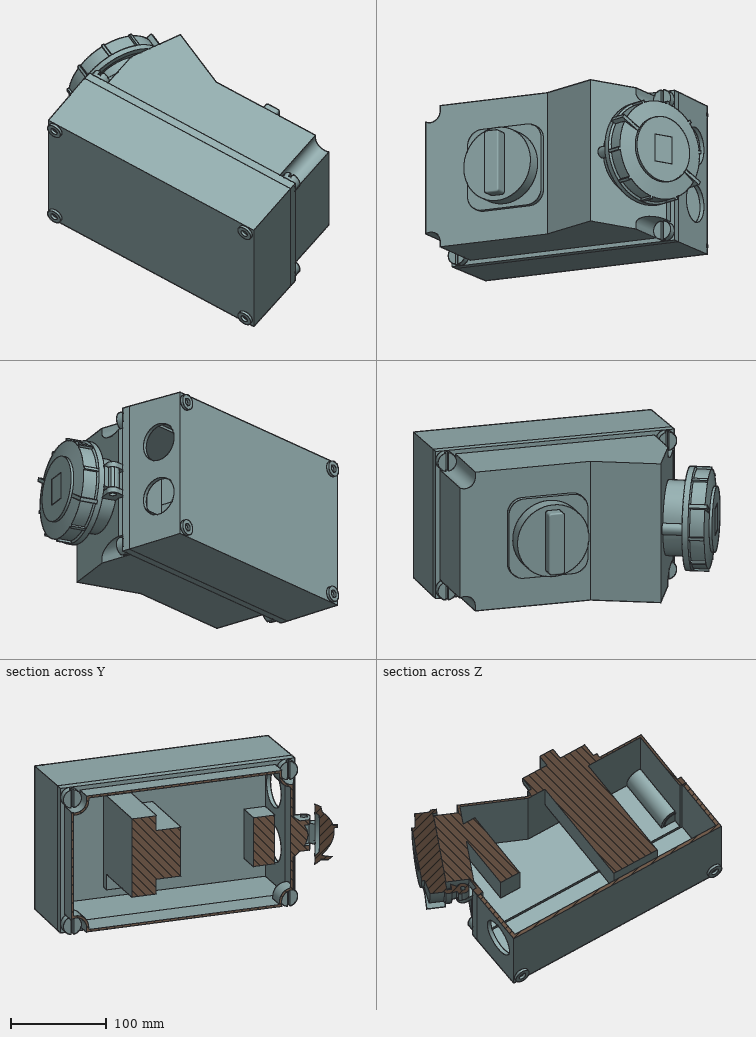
import cadquery as cq
import math


length = 261.0
width = 160.3
plate_thickness = 8.8
base_depth = 67.3
base_draft = 1.0
base_wall = 4.5
cover_margin = 4.5
cover_wall = 3.0

entry_radius = 20.3
entry_spacing = 60.5
entry_y = -48.0

screw_inset = 10.0
screw_head_height = 8.5
screw_slot_width = 3.0
screw_slot_depth = 4.5
pocket_radius = 11.5
foot_radius = 8.2
foot_height = 3.0
foot_hole_radius = 4.0

hood_height = 68.2
peak_x = 46.7
peak_y = 99.5
tilt = 25.0

insert_left = 29.5
insert_right = 53.3
insert_top = 75.8
block_width = 54.5
switch_bottom = -64.2
switch_length = 54.5
switch_back_width = 87.3
switch_foot_width = 121.2
switch_foot_height = 8.8

knob_x = 161.2
knob_plate_side = 86.5
knob_plate_height = 5.5
knob_plate_corner = 16.5
knob_radius = 39.0
knob_height = 16.5
handle_height = 13.5
handle_thickness = 17.0
handle_length = 66.7
handle_corner = 3.0
handle_top_fillet = 1.5

socket_offset = 56.5
sleeve_radius = 39.7
sleeve_length = 26.5
key_radius = 6.0
key_reach = 46.7

hinge_x = -7.3
hinge_y = 7.3
hinge_radius = 6.7
hinge_hole_radius = 3.5
pin_hole_radius = 2.0
ear_outer_width = 34.2
ear_gap = 22.5
ear_root = 91.0
tongue_left = -14.8
tongue_low_y = 3.5
tongue_toe = (-12.0, 1.2)
tongue_root = 42.5

cap_flange_radius = 54.5
cap_back = 21.8
cap_recess_radius = 49.0
cap_flange_front = 28.2
cap_step_front = 29.7
cap_ring_radius = 52.0
cap_ring_top = 44.8
cap_disc_radius = 34.5
cap_disc_bottom = 48.0
cap_disc_top = 51.0
label_length = 22.0
label_width = 28.8
label_height = 0.3
rib_count = 10
rib_width = 3.0
rib_start_angle = -30.0
wing_every = 5
wing_radius = 58.0
wing_width = 4.0

seam_y = -plate_thickness
floor_y = seam_y - base_depth
hood_left = cover_margin
hood_right = length - cover_margin
hood_width = width - 2 * cover_margin
slope_tan = math.tan(math.radians(tilt))
slope_sin = math.sin(math.radians(tilt))
slope_cos = math.cos(math.radians(tilt))
slope_bottom_y = peak_y - (peak_x - hood_left) / slope_tan
screw_places = [
    (x, z)
    for x in (screw_inset, length - screw_inset)
    for z in (screw_inset - width / 2, width / 2 - screw_inset)
]


def face_point(along, out):
    """XY point at a distance down the socket face from the peak and out along its normal."""
    return (peak_x - along * slope_sin - out * slope_cos, peak_y - along * slope_cos + out * slope_sin)


socket_plane = cq.Plane(
    origin=(*face_point(socket_offset, 0), 0),
    xDir=(-slope_sin, -slope_cos, 0),
    normal=(-slope_cos, slope_sin, 0),
)


def box(x0, x1, y0, y1, z_width):
    """Block between X and Y limits, centred on Z = 0."""
    return cq.Workplane("XY").box(x1 - x0, y1 - y0, z_width).translate(((x0 + x1) / 2, (y0 + y1) / 2, 0))


def post(x, z, radius, y0, y1):
    """Cylinder parallel to Y."""
    return cq.Workplane(cq.Solid.makeCylinder(radius, y1 - y0, cq.Vector(x, y0, z), cq.Vector(0, 1, 0)))


def hinge_cylinder(radius, z_width):
    """Cylinder on the hinge axis, centred on Z = 0."""
    return cq.Workplane("XY").center(hinge_x, hinge_y).circle(radius).extrude(z_width / 2, both=True)


def set_on_socket(local):
    """Move a shape from the socket's own frame into place."""
    return cq.Workplane(local.val().moved(cq.Location(socket_plane)))


def base_shell():
    """Open box: left, top and bottom sides taper towards the floor, the right side is straight."""
    def rim(y, inset, drop):
        left = drop + inset
        right = length - inset
        half = width / 2 - drop - inset
        corners = [(left, -half), (right, -half), (right, half), (left, half)]
        return cq.Wire.makePolygon([cq.Vector(x, y, z) for x, z in corners], close=True)

    outer = cq.Solid.makeLoft([rim(seam_y, 0, 0), rim(floor_y, 0, base_draft)], True)
    inside = [rim(seam_y, base_wall, 0), rim(floor_y + base_wall, base_wall, base_draft)]
    return cq.Workplane(outer).cut(cq.Workplane(cq.Solid.makeLoft(inside, True)))


def make_base():
    """Base shell with two cable entries and four hollow feet."""
    base = base_shell()
    for z in (-entry_spacing / 2, entry_spacing / 2):
        start = cq.Vector(-base_wall, entry_y, z)
        entry = cq.Solid.makeCylinder(entry_radius, 3 * base_wall, start, cq.Vector(1, 0, 0))
        base = base.cut(cq.Workplane(entry))
    for x, z in screw_places:
        base = base.union(post(x, z, foot_radius, floor_y - foot_height, floor_y))
        base = base.cut(post(x, z, foot_hole_radius, floor_y - foot_height, floor_y))
    return base


def hood_prism(inset, bottom_y):
    """Hood solid with its outline moved inwards by the inset on every side but the bottom."""
    left = hood_left + inset
    right = hood_right - inset
    top_x = peak_x + inset * (slope_cos - slope_sin)
    top_y = peak_y - inset * (slope_cos + slope_sin)
    roof_y = hood_height - inset
    outline = [
        (left, bottom_y),
        (left, top_y - (top_x - left) / slope_tan),
        (top_x, top_y),
        (top_x + (top_y - roof_y) / slope_tan, roof_y),
        (right, roof_y),
        (right, bottom_y),
    ]
    return cq.Workplane("XY").polyline(outline).close().extrude(hood_width / 2 - inset, both=True)


def screw_pocket(x, z, radius):
    """Round recess over a corner screw, continued straight outwards along Z."""
    outer_z = math.copysign(width / 2, z)
    straight = box(x - radius, x + radius, 0, peak_y, abs(outer_z - z))
    return post(x, z, radius, 0, peak_y).union(straight.translate((0, 0, (z + outer_z) / 2)))


def hood():
    """Rim plate and hollow hood with the four corner screw pockets."""
    body = hood_prism(0, 0)
    cavity = hood_prism(cover_wall, seam_y)
    for x, z in screw_places:
        body = body.cut(screw_pocket(x, z, pocket_radius))
        cavity = cavity.cut(screw_pocket(x, z, pocket_radius + cover_wall))
    return body.union(box(0, length, seam_y, 0, width)).cut(cavity)


def screw_head(x, z):
    """Round screw head with a slot along Z."""
    slot_y = screw_head_height - screw_slot_depth
    slot = box(x - screw_slot_width / 2, x + screw_slot_width / 2, slot_y, screw_head_height, 2 * width)
    return post(x, z, screw_inset, 0, screw_head_height).cut(slot)


def inner_blocks():
    """Rear of the socket insert and the switch body, inside the hood."""
    insert = box(insert_left, insert_right, seam_y, insert_top, block_width)
    insert = insert.intersect(hood_prism(0, seam_y))
    switch_left = knob_x - switch_length / 2
    switch_right = knob_x + switch_length / 2
    front = box(switch_left, knob_x, switch_bottom, hood_height, block_width)
    back = box(knob_x, switch_right, switch_bottom, hood_height, switch_back_width)
    foot = box(knob_x, switch_right, switch_bottom, switch_bottom + switch_foot_height, switch_foot_width)
    return insert.union(front).union(back).union(foot)


def rotary_switch():
    """Rounded square plate, round knob and bar handle on the hood roof."""
    plate_top = hood_height + knob_plate_height
    knob_top = plate_top + knob_height
    handle_top = knob_top + handle_height
    half = knob_plate_side / 2
    plate = box(knob_x - half, knob_x + half, hood_height, plate_top, knob_plate_side)
    plate = plate.edges("|Y").fillet(knob_plate_corner)
    half = handle_thickness / 2
    handle = box(knob_x - half, knob_x + half, knob_top, handle_top, handle_length)
    handle = handle.edges("|Y").fillet(handle_corner).faces(">Y").edges().fillet(handle_top_fillet)
    return plate.union(post(knob_x, 0, knob_radius, plate_top, knob_top)).union(handle)


def socket_sleeve():
    """Round sleeve with its rounded key on the side towards the peak."""
    sleeve = cq.Workplane("XY").circle(sleeve_radius).extrude(sleeve_length)
    key = cq.Workplane("XY").center(key_radius - key_reach, 0).circle(key_radius).extrude(sleeve_length)
    return set_on_socket(sleeve.union(key))


def hinge_ears():
    """Two ears joining the sleeve, the socket face and the hood, rounded about the hinge axis."""
    hinge_out = (peak_x - hinge_x) * slope_cos - (peak_y - hinge_y) * slope_sin
    outer = hinge_out + hinge_radius
    outline = [
        (hinge_x, hinge_y - hinge_radius),
        (hood_left, hinge_y - hinge_radius),
        (hood_left, slope_bottom_y),
        face_point(ear_root, 0),
        face_point(ear_root, outer),
        (hinge_x - hinge_radius * slope_cos, hinge_y + hinge_radius * slope_sin),
    ]
    ears = cq.Workplane("XY").polyline(outline).close().extrude(ear_outer_width / 2, both=True)
    ears = ears.union(hinge_cylinder(hinge_radius, ear_outer_width))
    ears = ears.cut(box(tongue_left - hinge_radius, hood_left, 0, peak_y, ear_gap))
    return ears.cut(hinge_cylinder(hinge_hole_radius, ear_outer_width))


def make_cover():
    """Hood with its inner blocks, switch, screw heads, hinge ears and socket sleeve."""
    cover = hood().union(inner_blocks()).union(rotary_switch())
    for x, z in screw_places:
        cover = cover.union(screw_head(x, z))
    return cover.union(hinge_ears()).union(socket_sleeve())


def cap_disc():
    """Turned body: recessed flange, ring with a shallow conical front, and raised centre disc."""
    profile = [
        (0, sleeve_length),
        (cap_recess_radius, sleeve_length),
        (cap_recess_radius, cap_back),
        (cap_flange_radius, cap_back),
        (cap_flange_radius, cap_flange_front),
        (cap_ring_radius, cap_step_front),
        (cap_ring_radius, cap_ring_top),
        (cap_disc_radius, cap_disc_bottom),
        (cap_disc_radius, cap_disc_top),
        (0, cap_disc_top),
    ]
    return cq.Workplane("XZ").polyline(profile).close().revolve(360, (0, 0), (0, 1))


def cap_rib(number):
    """Axial grip rib; the wings are wider, reach further out and rise to the centre disc."""
    is_wing = number % wing_every == 0
    inner = cap_disc_radius if is_wing else cap_disc_radius + rib_width
    outer = wing_radius if is_wing else cap_flange_radius
    thickness = wing_width if is_wing else rib_width
    top = cap_disc_bottom if is_wing else cap_ring_top
    height = top - cap_flange_front
    rib = cq.Workplane("XY").box(outer - inner, thickness, height, centered=(False, True, False))
    angle = rib_start_angle + number * 360 / rib_count
    return rib.translate((inner, 0, cap_flange_front)).rotate((0, 0, 0), (0, 0, 1), angle)


def cap_tongue():
    """Hinge tongue from the back of the cap flange to the barrel between the ears."""
    outline = [
        face_point(socket_offset + tongue_root, cap_back),
        face_point(socket_offset + cap_flange_radius, cap_back),
        (tongue_left, hinge_y),
        (tongue_left, tongue_low_y),
        tongue_toe,
        (hinge_x, hinge_y),
    ]
    tongue = cq.Workplane("XY").polyline(outline).close().extrude(ear_gap / 2, both=True)
    return tongue.union(hinge_cylinder(hinge_radius, ear_gap)).cut(hinge_cylinder(pin_hole_radius, ear_gap))


def make_cap():
    """Cap disc with its label plate, grip ribs and hinge tongue."""
    label = cq.Workplane("XY").box(label_length, label_width, label_height, centered=(True, True, False))
    cap = cap_disc().union(label.translate((0, 0, cap_disc_top)))
    for number in range(rib_count):
        cap = cap.union(cap_rib(number))
    return set_on_socket(cap).union(cap_tongue())


base = make_base()
cover = make_cover()
cap = make_cap()

result = cq.Compound.makeCompound([base.val(), cover.val(), cap.val()])